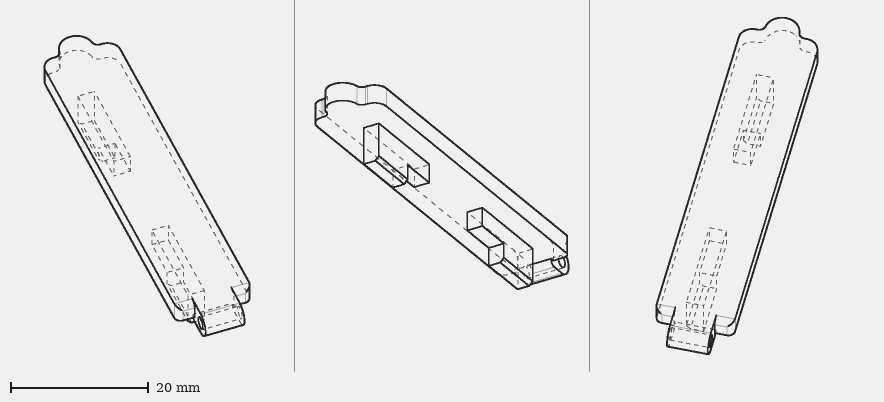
import cadquery as cq
import math

length = 61.0
width = 11.7
height = 9.0

plate_thickness = 3.0
plate_end = 56.65
end_round = 1.0
shoulder_x = 3.05
shoulder_radius = 2.0

nose_radius = 2.55
blend_radius = 1.0

lug_width = 6.1
lug_height = 3.9
lug_heel_x = 56.0
pin_hole_diameter = 1.8

foot_outer_left = 8.85
foot_outer_right = 52.1
foot_length = 14.15
foot_post_length = 8.1
foot_step_depth = 6.05
foot_thickness = 2.55
foot_back_y = 0.25
foot_chamfer = 0.6


def make_plate():
    """Plate with a nose at one end and rounded edges at the hinge end."""
    half_width = width / 2
    diagonal = math.sqrt(0.5)

    blend_x = shoulder_x - blend_radius
    center_distance = nose_radius + blend_radius
    blend_y = math.sqrt(center_distance**2 - (nose_radius - blend_x) ** 2)
    nose_share = nose_radius / center_distance
    touch_x = nose_radius + (blend_x - nose_radius) * nose_share
    touch_y = blend_y * nose_share

    start_angle = math.atan2(touch_y - blend_y, touch_x - blend_x)
    mid_angle = start_angle / 2
    blend_mid_x = blend_x + blend_radius * math.cos(mid_angle)
    blend_mid_y = blend_y + blend_radius * math.sin(mid_angle)

    corner_x = shoulder_x + shoulder_radius
    corner_y = half_width - shoulder_radius
    corner_mid_x = corner_x - shoulder_radius * diagonal
    corner_mid_y = corner_y + shoulder_radius * diagonal

    plate = (
        cq.Workplane("XY")
        .moveTo(plate_end, -half_width)
        .lineTo(plate_end, half_width)
        .lineTo(corner_x, half_width)
        .threePointArc((corner_mid_x, corner_mid_y), (shoulder_x, corner_y))
        .lineTo(shoulder_x, blend_y)
        .threePointArc((blend_mid_x, blend_mid_y), (touch_x, touch_y))
        .threePointArc((0, 0), (touch_x, -touch_y))
        .threePointArc((blend_mid_x, -blend_mid_y), (shoulder_x, -blend_y))
        .lineTo(shoulder_x, -corner_y)
        .threePointArc((corner_mid_x, -corner_mid_y), (corner_x, -half_width))
        .close()
        .extrude(-plate_thickness)
    )
    envelope = cq.Workplane("XY").box(plate_end, width, plate_thickness, centered=(False, True, False))
    envelope = envelope.translate((0, 0, -plate_thickness))
    upright_rounds = envelope.edges("|Z and >X").fillet(end_round)
    top_round = envelope.edges(">X and >Z").fillet(end_round)
    return plate.intersect(upright_rounds).intersect(top_round)


def make_lug():
    """Hinge lug with a full round end, a rounded heel and a pin hole."""
    lug_radius = lug_height / 2
    pin_x = length - lug_radius
    lug_start = plate_end - end_round
    lug_heel_radius = lug_height - plate_thickness
    heel_mid = lug_heel_radius * (1 - math.sqrt(0.5))

    lug = (
        cq.Workplane("XZ")
        .moveTo(lug_start, 0)
        .lineTo(pin_x, 0)
        .threePointArc((length, -lug_radius), (pin_x, -lug_height))
        .lineTo(lug_heel_x + lug_heel_radius, -lug_height)
        .threePointArc(
            (lug_heel_x + heel_mid, heel_mid - lug_height),
            (lug_heel_x, -plate_thickness),
        )
        .lineTo(lug_start, -plate_thickness)
        .close()
        .extrude(lug_width / 2, both=True)
    )
    pin_hole = (
        cq.Workplane("XZ")
        .center(pin_x, -lug_radius)
        .circle(pin_hole_diameter / 2)
        .extrude(lug_width, both=True)
    )
    return lug.cut(pin_hole)


def make_foot(outer_x, inward):
    """L-shaped foot whose toe points along X in the inward direction (+1 or -1)."""
    post_x = outer_x + inward * foot_post_length
    toe_x = outer_x + inward * foot_length
    foot = (
        cq.Workplane("XZ", origin=(0, foot_back_y, 0))
        .moveTo(outer_x, -plate_thickness)
        .lineTo(toe_x, -plate_thickness)
        .lineTo(toe_x, -foot_step_depth)
        .lineTo(post_x, -foot_step_depth)
        .lineTo(post_x, -height)
        .lineTo(outer_x, -height)
        .close()
        .extrude(foot_thickness)
    )
    return foot.faces("<Z").edges("<Y").chamfer(foot_chamfer)


result = make_plate().union(make_lug())
for outer_x, inward in ((foot_outer_left, 1), (foot_outer_right, -1)):
    result = result.union(make_foot(outer_x, inward))